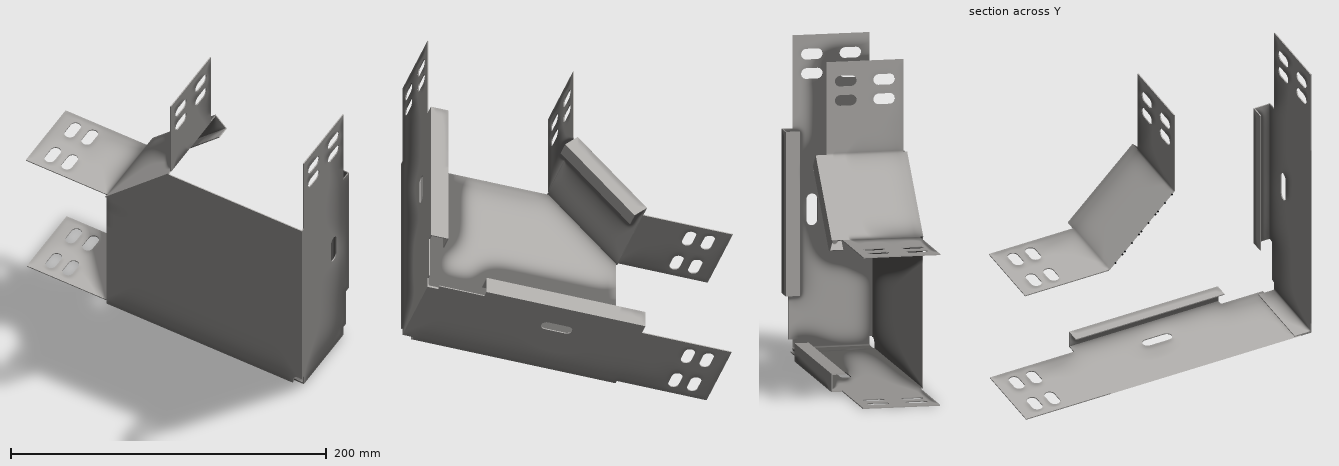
import math

import cadquery as cq


SHEET = 0.7
WIDTH = 59.4
LEG_END = 143.2
THROAT = 98.0

TAB_LENGTH = 60.0
TAB_WIDTH = 50.0
TAB_FRONT = 2.4
DIAGONAL_TAB_END = 203.94
DIAGONAL_BEND = 144.3
HALF_BEND_ANGLE = math.radians(45 / 2)
BEND_RADIUS = 2.0

SLOT_LENGTH = 14.0
SLOT_WIDTH = 7.0
SLOT_PITCH_ALONG = 12.5
SLOT_PITCH_ACROSS = 25.0
SLOT_END_DISTANCE = 12.5

WALL_SLOT_LENGTH = 20.5
WALL_SLOT_RUN = 90.5
WALL_SLOT_Y = TAB_FRONT + (TAB_WIDTH + SLOT_PITCH_ACROSS) / 2

LIP_HEIGHT = 11.8
LIP_DEPTH = 9.2
LIP_START = 37.2

FREE_EDGE_SETBACK = 4.2
HEEL_RELIEF = 7.2
FLAP_LENGTH = 11.8
FLAP_RADIUS = 1.0
PANEL_NOTCH = 6.7
PANEL_CUT = 10.9

MIRROR_NORMAL = cq.Vector(1, 0, 1)


def plate(outline, y_front, y_back):
    """Extrude a (run, rise) outline between two Y positions."""
    points = [(-run, rise) for run, rise in outline]
    return cq.Workplane("XZ", origin=(0, y_front, 0)).polyline(points).close().extrude(y_front - y_back)


def bar(run_start, run_end, rise_start, rise_end, y_front, y_back):
    """Rectangular block given by its run, rise and Y limits."""
    outline = [
        (run_start, rise_start),
        (run_end, rise_start),
        (run_end, rise_end),
        (run_start, rise_end),
    ]
    return plate(outline, y_front, y_back)


def across_bend(body):
    """Mirror a body of the floor leg onto the upright leg."""
    return body.mirror(MIRROR_NORMAL)


def tab(bend, end, top):
    """Horizontal joining tab with two rows of two cross slots."""
    body = bar(bend, end, top - SHEET, top, TAB_FRONT, TAB_FRONT + TAB_WIDTH)
    first_row = end - SLOT_END_DISTANCE
    rows = [first_row, first_row - SLOT_PITCH_ALONG]
    middle = TAB_FRONT + TAB_WIDTH / 2
    columns = [middle - SLOT_PITCH_ACROSS / 2, middle + SLOT_PITCH_ACROSS / 2]
    slots = (
        cq.Workplane("XY", origin=(0, 0, top - SHEET))
        .pushPoints([(-row, column) for row in rows for column in columns])
        .slot2D(SLOT_LENGTH, SLOT_WIDTH, 90)
        .extrude(SHEET)
    )
    return body.cut(slots)


def side_panel():
    """Front panel, notched at the heel and cut back along the diagonal wall."""
    diagonal_rise = DIAGONAL_BEND + THROAT - LEG_END
    outline = [
        (PANEL_NOTCH, 0),
        (LEG_END, 0),
        (LEG_END, diagonal_rise),
        (diagonal_rise, LEG_END),
        (0, LEG_END),
        (0, PANEL_NOTCH),
        (PANEL_CUT - PANEL_NOTCH, PANEL_NOTCH),
        (PANEL_NOTCH, PANEL_CUT - PANEL_NOTCH),
    ]
    return plate(outline, 0, SHEET)


def leg():
    """Floor of one leg with its joining tab, back lip and central slot."""
    free_edge = WIDTH - FREE_EDGE_SETBACK
    body = bar(HEEL_RELIEF, LEG_END, 0, SHEET, 0, free_edge)
    body = body.union(bar(LIP_START, LEG_END, 0, SHEET, 0, WIDTH))
    body = body.union(bar(LIP_START, LEG_END, 0, LIP_HEIGHT, WIDTH - SHEET, WIDTH))
    lip_return = bar(LIP_START, LEG_END, LIP_HEIGHT - SHEET, LIP_HEIGHT, WIDTH - LIP_DEPTH, WIDTH)
    body = body.union(lip_return)
    body = body.union(tab(LEG_END, LEG_END + TAB_LENGTH, SHEET))
    slot = (
        cq.Workplane("XY", origin=(-WALL_SLOT_RUN, WALL_SLOT_Y, 0))
        .slot2D(WALL_SLOT_LENGTH, SLOT_WIDTH)
        .extrude(SHEET)
    )
    return body.cut(slot)


def diagonal_strip(depth_start, depth_end, y_front, y_back):
    """Strip parallel to the diagonal, between two depths below its outer face."""
    near = depth_start / math.sqrt(2)
    far = depth_end / math.sqrt(2)
    outline = [
        (DIAGONAL_BEND - near, THROAT - near),
        (THROAT - near, DIAGONAL_BEND - near),
        (THROAT - far, DIAGONAL_BEND - far),
        (DIAGONAL_BEND - far, THROAT - far),
    ]
    return plate(outline, y_front, y_back)


def diagonal():
    """Inner diagonal wall with its back lip and the two inner tabs."""
    body = diagonal_strip(0, SHEET, 0, WIDTH)
    body = body.union(diagonal_strip(0, LIP_HEIGHT, WIDTH - SHEET, WIDTH))
    body = body.union(diagonal_strip(LIP_HEIGHT - SHEET, LIP_HEIGHT, WIDTH - LIP_DEPTH, WIDTH))
    bend_overlap = SHEET * math.tan(HALF_BEND_ANGLE)
    inner_tab = tab(DIAGONAL_BEND - bend_overlap, DIAGONAL_TAB_END, THROAT)
    body = body.union(inner_tab).union(across_bend(inner_tab))
    tab_middle = TAB_FRONT + TAB_WIDTH / 2
    lower_bend = cq.NearestToPointSelector((-DIAGONAL_BEND, tab_middle, THROAT))
    upper_bend = cq.NearestToPointSelector((-THROAT, tab_middle, DIAGONAL_BEND))
    return body.edges(lower_bend).fillet(BEND_RADIUS).edges(upper_bend).fillet(BEND_RADIUS)


def heel():
    """Narrow floor at the heel, with the wall's flap folded over it."""
    y_back = TAB_FRONT + TAB_WIDTH
    wall = bar(0, SHEET, SHEET, HEEL_RELIEF, TAB_FRONT, y_back)
    flap = bar(0, FLAP_LENGTH, SHEET, 2 * SHEET, TAB_FRONT, y_back)
    inner_bend = cq.NearestToPointSelector((-SHEET, TAB_FRONT + TAB_WIDTH / 2, 2 * SHEET))
    folded = wall.union(flap).edges(inner_bend).fillet(FLAP_RADIUS)
    return folded.union(bar(0, HEEL_RELIEF, 0, SHEET, TAB_FRONT, y_back))


floor_leg = leg()
result = side_panel().union(floor_leg).union(across_bend(floor_leg)).union(diagonal()).union(heel())